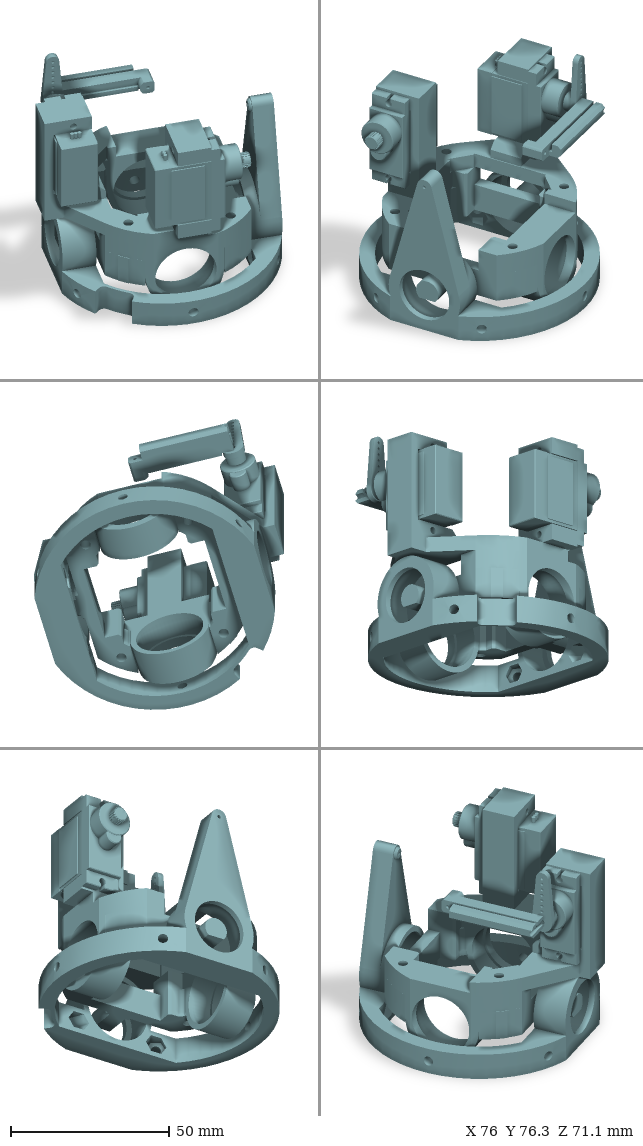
import cadquery as cq
import math

AXIS_Z = 13.0
BOSS_RADIUS = 12.85
BEARING_DIAMETER = 22.0
SIDE_LIP_DIAMETER = 20.0
RING_LIP_DIAMETER = 18.0
RING_LIP_THICKNESS = 2.0
SIDE_LIP_THICKNESS = 3.15

RING_RADIUS = 38.0
RING_INNER_RADIUS = 33.0
RING_HEIGHT = 8.85
RING_FLAT_Y = 35.95
RING_INNER_FLAT_Y = 24.85
RADIAL_HOLE_COUNT = 6
SCREW_HOLE = 3.2
NUT_WIDTH = 5.7
NUT_POCKET_RADIUS = 32.7
NOTCH_RADIUS = 34.0
NOTCH_OUTER_RADIUS = 40.0
NOTCH_ANGLES = (-48.8, -29.6)
NOTCH_FILLET = 2.0

TOWER_FRONT_Y = 28.9
TOWER_TOP_RADIUS = 2.65
SHAFT_Z = 53.15
NUB_DIAMETER = 4.2
NUB_HEIGHT = 0.9
NUB_CHAMFER = 0.5
PIVOT_HOLE = 1.2

FRAME_RADIUS = 30.85
FRAME_FLAT_X = 28.95
FRAME_FLAT_Y = 23.95
WALL_INNER_X = 17.8
FRAME_BOTTOM = 10.2
LAP_Z = 20.1
FRAME_TOP = 27.1
SHELF_Z = 26.15
PLATE_TOP = 31.0
LAP_Y = 12.95
STEP_Y = -10.15
CORNER_HOLE = (21.2, 16.75)
TALL = 100.0

BAR_TOP = 19.55
BAR_INNER_Y = 19.85
LUG_INNER_X = 12.85
LUG_INNER_Y = 14.65
LUG_CHAMFER = 0.8
GUSSET_SIZE = 1.3
PAD_WIDTH = 3.7
PAD_RADIUS = 31.0
SHOULDER_DIAMETER = 10.1
SHOULDER_LENGTH = 1.0
PIN_DIAMETER = 8.0
PIN_END_Y = 34.1

SERVO_WIDTH = 12.0
CASE_BOTTOM, CASE_TOP = 36.4, 59.4
EAR_BOTTOM, EAR_TOP = 31.75, 63.95
EAR_THICKNESS = 2.85
CASE_FRONT = 4.5
CASE_REAR = -18.5
CASE_CHAMFER = 0.25
LID_FRONT = -13.15
LID_OVERHANG = 0.08
PANEL_BOTTOM, PANEL_TOP = 37.4, 58.3
PANEL_FRONT = -2.3
PANEL_THICKNESS = 0.3
GEAR_BOSS_DIAMETER = 11.5
GEAR_BOSS_FRONT = 10.35
SERVO_BOSS_CHAMFER = 0.3
IDLER_BOSS_DIAMETER = 5.5
IDLER_BOSS_FRONT = 10.0
IDLER_DROP = 5.9
SHAFT_DIAMETER = 5.0
SHAFT_FRONT = 14.0
SHAFT_CHAMFER = 0.4
NECK_FRONT = 10.75
NECK_DIAMETER = 4.2
SPLINE_COUNT = 18
SPLINE_DEPTH = 0.3
SPLINE_WIDTH = 0.4
EAR_HOLE = 2.3
EAR_HOLE_Z = (33.95, 61.75)
EAR_SLOT_WIDTH = 1.3
CONNECTOR_PIN_DIAMETER = 1.2
CONNECTOR_PIN_PITCH = 1.22
CONNECTOR_PIN_TOP = 61.3
CONNECTOR_PIN_DEPTH = -13.85
WINDOW_BOTTOM, WINDOW_TOP = 36.2, 59.6
HOLDER_THICKNESS = 11.0
HOLDER_SIDE_GAP = 0.45

RIGHT_SERVO_X = 27.25
RIGHT_FACE_Y = 7.25
RIGHT_HOLDER_OUTER_X = 33.25
RIGHT_HOLDER_TOP = 64.95
FRONT_SERVO_Y = -30.9
FRONT_FACE_X = -3.75
FRONT_HOLDER_INNER_Y = -24.9
FRONT_HOLDER_OUTER_Y = -40.31
FRONT_HOLDER_TOP = 64.6

PLATE_CORNER_X = math.sqrt(FRAME_RADIUS**2 - FRAME_FLAT_Y**2)
PLATE_APEX_Y = -39.7
PLATE_INNER_Y = -20.0
PLATE_CHAMFER_OUTER_X = 18.75
PLATE_CHAMFER_INNER_Y = -19.3
FOOT_INNER_Y = -20.3
FOOT_TOP = 36.2
FOOT_CHAMFER = 2.2

BLADE_OUTER_X, BLADE_INNER_X = -19.55, -17.55
HUB_INNER_X = -14.75
HUB_DIAMETER = 6.3
BLADE_ROOT_RADIUS = 3.5
HORN_TOP = 71.09
BLADE_TIP_RADIUS = 2.1
HORN_HOLE = 1.0
HORN_HOLE_COUNT = 7
HORN_HOLE_PITCH = 2.0
HORN_SCREW_HOLE = 1.7

LINK_OUTER_X = -27.85
LINK_SLOT_X = (-24.7, -23.7)
LINK_LEDGE_X = -18.7
LINK_HOOK_X = -16.7
LINK_BOTTOM, LINK_TOP = 51.1, 55.5
EYE_RADIUS = 2.6
EYE_END_Y = 2.15
LINK_FLOOR_Z = 52.75
LINK_START_Y, LINK_END_Y = -2.5, -31.3
LEDGE_END_Y = -27.2
LINK_CHAMFER = 1.05


def box(x_range, y_range, z_range):
    """Axis-aligned block between the given limits."""
    (x0, x1), (y0, y1), (z0, z1) = (sorted(limits) for limits in (x_range, y_range, z_range))
    return cq.Workplane("XY").box(x1 - x0, y1 - y0, z1 - z0, centered=False).translate((x0, y0, z0))


def cylinder_x(diameter, x_range, y, z):
    """Cylinder along X."""
    x0, x1 = sorted(x_range)
    return cq.Workplane("YZ", origin=(x0, y, z)).circle(diameter / 2).extrude(x1 - x0)


def cylinder_y(diameter, y_range, x, z):
    """Cylinder along Y."""
    y0, y1 = sorted(y_range)
    return cq.Workplane("XZ", origin=(x, y0, z)).circle(diameter / 2).extrude(y0 - y1)


def tapered_arm(plane, root_radius, tip_radius, length, thickness):
    """Two round ends joined by tangent sides, the root at the plane's origin and the tip above it."""
    lean = math.asin((root_radius - tip_radius) / length)
    side_x, side_y = math.cos(lean), math.sin(lean)
    return (
        cq.Workplane(plane)
        .moveTo(-root_radius * side_x, root_radius * side_y)
        .threePointArc((0, -root_radius), (root_radius * side_x, root_radius * side_y))
        .lineTo(tip_radius * side_x, length + tip_radius * side_y)
        .threePointArc((0, length + tip_radius), (-tip_radius * side_x, length + tip_radius * side_y))
        .close()
        .extrude(thickness)
    )


def ring_notch():
    """Sector that thins the ring wall between the notch angles."""
    start, end = (math.radians(angle) for angle in NOTCH_ANGLES)
    middle = (start + end) / 2

    def polar(radius, angle):
        return (radius * math.cos(angle), radius * math.sin(angle))

    sector = (
        cq.Workplane("XY")
        .moveTo(*polar(NOTCH_RADIUS, start))
        .threePointArc(polar(NOTCH_RADIUS, middle), polar(NOTCH_RADIUS, end))
        .lineTo(*polar(NOTCH_OUTER_RADIUS, end))
        .threePointArc(polar(NOTCH_OUTER_RADIUS, middle), polar(NOTCH_OUTER_RADIUS, start))
        .close()
        .extrude(RING_HEIGHT)
    )
    for angle in (start, end):
        x, y = polar(NOTCH_RADIUS, angle)
        corner = cq.selectors.NearestToPointSelector((x, y, RING_HEIGHT / 2))
        sector = sector.edges("|Z").edges(corner).fillet(NOTCH_FILLET)
    return sector


def radial_hole():
    """Screw hole along +X with a hexagonal nut pocket on the inside."""
    mid_z = RING_HEIGHT / 2
    hole = cylinder_x(SCREW_HOLE, (0, RING_RADIUS), 0, mid_z)
    nut_corner_diameter = NUT_WIDTH / math.cos(math.pi / 6)
    pocket = cq.Workplane("YZ", origin=(0, 0, mid_z)).polygon(6, nut_corner_diameter)
    return hole.union(pocket.extrude(NUT_POCKET_RADIUS))


def build_ring():
    flats = box((-TALL, TALL), (-RING_FLAT_Y, RING_FLAT_Y), (0, RING_HEIGHT))
    opening = cq.Workplane("XY").circle(RING_INNER_RADIUS).extrude(RING_HEIGHT)
    opening = opening.intersect(
        box((-TALL, TALL), (-RING_INNER_FLAT_Y, RING_INNER_FLAT_Y), (0, RING_HEIGHT))
    )
    ring = cq.Workplane("XY").circle(RING_RADIUS).extrude(RING_HEIGHT).intersect(flats).cut(opening)
    ring = ring.cut(ring_notch())

    for index in range(RADIAL_HOLE_COUNT):
        ring = ring.cut(radial_hole().rotate((0, 0, 0), (0, 0, 1), index * 360 / RADIAL_HOLE_COUNT))

    for side in (-1, 1):
        ring = ring.union(
            cylinder_y(2 * BOSS_RADIUS, (side * RING_INNER_FLAT_Y, side * RING_FLAT_Y), 0, AXIS_Z)
        )

    tower_plane = cq.Plane(origin=(0, RING_FLAT_Y, AXIS_Z), xDir=(1, 0, 0), normal=(0, -1, 0))
    tower_depth = RING_FLAT_Y - TOWER_FRONT_Y
    tower = tapered_arm(tower_plane, BOSS_RADIUS, TOWER_TOP_RADIUS, SHAFT_Z - AXIS_Z, tower_depth)
    ring = ring.union(tower)
    nub = cylinder_y(NUB_DIAMETER, (TOWER_FRONT_Y - NUB_HEIGHT, TOWER_FRONT_Y), 0, SHAFT_Z)
    nub = nub.faces("<Y").edges().chamfer(NUB_CHAMFER)
    ring = ring.union(nub)
    ring = ring.cut(cylinder_y(PIVOT_HOLE, (TOWER_FRONT_Y - NUB_HEIGHT, RING_FLAT_Y), 0, SHAFT_Z))

    ring = ring.cut(cylinder_y(RING_LIP_DIAMETER, (-TALL, TALL), 0, AXIS_Z))
    pocket_end = RING_FLAT_Y - RING_LIP_THICKNESS
    return ring.cut(cylinder_y(BEARING_DIAMETER, (-pocket_end, pocket_end), 0, AXIS_Z))


def frame_slab(bottom, top):
    """Full outline of the inner frame: a disc with four flats."""
    disc = cq.Workplane("XY", origin=(0, 0, bottom)).circle(FRAME_RADIUS).extrude(top - bottom)
    return disc.intersect(
        box((-FRAME_FLAT_X, FRAME_FLAT_X), (-FRAME_FLAT_Y, FRAME_FLAT_Y), (bottom, top))
    )


def corner_holes():
    """Vertical screw holes through the four corner joints."""
    x, y = CORNER_HOLE
    corners = [(-x, -y), (-x, y), (x, -y), (x, y)]
    return cq.Workplane("XY").pushPoints(corners).circle(SCREW_HOLE / 2).extrude(TALL)


def build_side_wall(side, step_back_y):
    """Bearing wall on one side (+1 for +X); its step reaches from the front joint to step_back_y."""
    inner, outer = side * WALL_INNER_X, side * FRAME_FLAT_X
    wall = box((inner, outer), (-LAP_Y, BOSS_RADIUS), (AXIS_Z, FRAME_TOP))
    wall = wall.union(cylinder_x(2 * BOSS_RADIUS, (inner, outer), 0, AXIS_Z))
    wall = wall.union(box((inner, outer), (0, FRAME_FLAT_Y), (LAP_Z, FRAME_TOP)))
    wall = wall.union(box((inner, outer), (-FRAME_FLAT_Y, 0), (LAP_Z, SHELF_Z)))
    wall = wall.union(box((inner, outer), (-LAP_Y, step_back_y), (LAP_Z, PLATE_TOP)))
    wall = wall.intersect(frame_slab(0, PLATE_TOP)).cut(corner_holes())
    wall = wall.cut(cylinder_x(SIDE_LIP_DIAMETER, (0, side * TALL), 0, AXIS_Z))
    pocket_end = side * (FRAME_FLAT_X - SIDE_LIP_THICKNESS)
    return wall.cut(cylinder_x(BEARING_DIAMETER, (0, pocket_end), 0, AXIS_Z))


def build_pivot_bar(side, lug_top):
    """Cross bar with corner lugs and a flat-bottomed pivot pin, on one side (+1 for +Y)."""
    outer_y = side * FRAME_FLAT_Y
    bar = box((-WALL_INNER_X, WALL_INNER_X), (side * BAR_INNER_Y, outer_y), (FRAME_BOTTOM, BAR_TOP))
    for hand in (-1, 1):
        lug_x = (hand * LUG_INNER_X, hand * WALL_INNER_X)
        lug = box(lug_x, (side * LUG_INNER_Y, outer_y), (FRAME_BOTTOM, lug_top))
        lug_corner = cq.selectors.NearestToPointSelector((hand * LUG_INNER_X, side * LUG_INNER_Y, AXIS_Z))
        lug = lug.edges("|Z").edges(lug_corner).chamfer(LUG_CHAMFER)
        corner = box(
            (hand * WALL_INNER_X, hand * FRAME_FLAT_X), (side * LAP_Y, outer_y), (FRAME_BOTTOM, LAP_Z)
        )
        gusset = (
            cq.Workplane("XY", origin=(hand * WALL_INNER_X, side * LUG_INNER_Y, FRAME_BOTTOM))
            .polyline([(0, 0), (-hand * GUSSET_SIZE, 0), (0, -side * GUSSET_SIZE)])
            .close()
            .extrude(LAP_Z - FRAME_BOTTOM)
        )
        corner = corner.intersect(frame_slab(FRAME_BOTTOM, LAP_Z))
        bar = bar.union(lug).union(gusset).union(corner)
    bar = bar.cut(corner_holes())
    shoulder_end = FRAME_FLAT_Y + SHOULDER_LENGTH
    pin = cylinder_y(SHOULDER_DIAMETER, (side * BAR_INNER_Y, side * shoulder_end), 0, AXIS_Z)
    pin = pin.union(cylinder_y(PIN_DIAMETER, (side * BAR_INNER_Y, side * PIN_END_Y), 0, AXIS_Z))
    pin = pin.cut(box((-TALL, TALL), (-TALL, TALL), (0, FRAME_BOTTOM)))
    return bar.union(pin)


def build_front_pivot_bar():
    """Front bar, with a flat pad on each rounded corner outside the screw hole."""
    bar = build_pivot_bar(-1, SHELF_Z)
    hole_x, hole_y = CORNER_HOLE
    pad_angle = math.degrees(math.atan2(hole_y, hole_x))
    hole_edge = math.hypot(hole_x, hole_y) + SCREW_HOLE / 2
    pad = box((hole_edge, PAD_RADIUS), (-PAD_WIDTH / 2, PAD_WIDTH / 2), (FRAME_BOTTOM, LAP_Z))
    for angle in (-pad_angle, pad_angle - 180):
        bar = bar.union(pad.rotate((0, 0, 0), (0, 0, 1), angle))
    return bar


def build_right_wall():
    wall = build_side_wall(1, RIGHT_FACE_Y)
    holder_y = (RIGHT_FACE_Y - HOLDER_THICKNESS, RIGHT_FACE_Y)
    holder = box((WALL_INNER_X, RIGHT_HOLDER_OUTER_X), holder_y, (PLATE_TOP, RIGHT_HOLDER_TOP))
    window_x = RIGHT_SERVO_X - SERVO_WIDTH / 2 - HOLDER_SIDE_GAP
    holder = holder.cut(box((window_x, TALL), holder_y, (WINDOW_BOTTOM, WINDOW_TOP)))
    for z in EAR_HOLE_Z:
        holder = holder.cut(cylinder_y(EAR_HOLE, holder_y, RIGHT_SERVO_X, z))
    return wall.union(holder)


def build_front_bracket():
    corner = (PLATE_CORNER_X, -FRAME_FLAT_Y)
    joint_x = math.sqrt(FRAME_RADIUS**2 - LAP_Y**2)
    arc_angle = (math.atan2(-FRAME_FLAT_Y, PLATE_CORNER_X) + math.atan2(-LAP_Y, joint_x)) / 2
    arc_x, arc_y = FRAME_RADIUS * math.cos(arc_angle), FRAME_RADIUS * math.sin(arc_angle)
    plate = (
        cq.Workplane("XY", origin=(0, 0, SHELF_Z))
        .moveTo(0, PLATE_APEX_Y)
        .lineTo(*corner)
        .threePointArc((arc_x, arc_y), (joint_x, -LAP_Y))
        .lineTo(PLATE_CHAMFER_OUTER_X, -LAP_Y)
        .lineTo(LUG_INNER_X, PLATE_CHAMFER_INNER_Y)
        .lineTo(LUG_INNER_X, PLATE_INNER_Y)
        .lineTo(0, PLATE_INNER_Y)
        .mirrorY()
        .extrude(PLATE_TOP - SHELF_Z)
    )
    holder_x = (FRONT_FACE_X, FRONT_FACE_X + HOLDER_THICKNESS)
    holder = box(holder_x, (FRONT_HOLDER_OUTER_Y, FRONT_HOLDER_INNER_Y), (SHELF_Z, FRONT_HOLDER_TOP))
    foot = box(holder_x, (FRONT_HOLDER_INNER_Y, FOOT_INNER_Y), (PLATE_TOP, FOOT_TOP))
    foot = foot.faces(">Z").edges(">Y").chamfer(FOOT_CHAMFER)
    window_y = FRONT_SERVO_Y - SERVO_WIDTH / 2 - HOLDER_SIDE_GAP
    holder = holder.cut(box(holder_x, (window_y, 0), (WINDOW_BOTTOM, WINDOW_TOP)))
    for z in EAR_HOLE_Z:
        holder = holder.cut(cylinder_x(EAR_HOLE, holder_x, FRONT_SERVO_Y, z))
    return plate.cut(corner_holes()).union(holder).union(foot)


def build_servo(mount_plane):
    """Servo with local X across its width, local Y its height and local Z out along the shaft."""
    half = SERVO_WIDTH / 2
    case_half = half - LID_OVERHANG
    case_height = (CASE_BOTTOM + LID_OVERHANG, CASE_TOP - LID_OVERHANG)
    case_rear = box((-case_half, case_half), case_height, (LID_FRONT, 0))
    case = box((-half, half), (CASE_BOTTOM, CASE_TOP), (0, CASE_FRONT))
    case = case.faces(">Z").edges().chamfer(CASE_CHAMFER)
    lid = box((-half, half), (CASE_BOTTOM, CASE_TOP), (CASE_REAR, LID_FRONT))
    lid = lid.faces("<Z").edges().chamfer(CASE_CHAMFER)
    ears = box((-half, half), (EAR_BOTTOM, EAR_TOP), (0, EAR_THICKNESS))
    ears = ears.faces(">Z").edges("|X").chamfer(CASE_CHAMFER)
    servo = case.union(case_rear).union(lid).union(ears)
    panel_half = half + PANEL_THICKNESS
    servo = servo.union(
        box((-panel_half, panel_half), (PANEL_BOTTOM, PANEL_TOP), (LID_FRONT, PANEL_FRONT))
    )

    for hole_y, end_y in zip(EAR_HOLE_Z, (EAR_BOTTOM, EAR_TOP)):
        hole = cq.Workplane("XY").center(0, hole_y).circle(EAR_HOLE / 2).extrude(EAR_THICKNESS)
        slot = box((-EAR_SLOT_WIDTH / 2, EAR_SLOT_WIDTH / 2), (hole_y, end_y), (0, EAR_THICKNESS))
        servo = servo.cut(hole).cut(slot)

    shaft_base = cq.Workplane("XY").center(0, SHAFT_Z)
    gear_boss = shaft_base.circle(GEAR_BOSS_DIAMETER / 2).extrude(GEAR_BOSS_FRONT)
    gear_boss = gear_boss.faces(">Z").edges().chamfer(SERVO_BOSS_CHAMFER)
    idler_boss = (
        cq.Workplane("XY")
        .center(0, SHAFT_Z - IDLER_DROP)
        .circle(IDLER_BOSS_DIAMETER / 2)
        .extrude(IDLER_BOSS_FRONT)
    )
    idler_boss = idler_boss.faces(">Z").edges().chamfer(SERVO_BOSS_CHAMFER)
    neck = shaft_base.circle(NECK_DIAMETER / 2).extrude(NECK_FRONT)
    spline_base = shaft_base.workplane(offset=NECK_FRONT)
    spline_length = SHAFT_FRONT - NECK_FRONT
    spline = spline_base.circle(SHAFT_DIAMETER / 2).extrude(spline_length)
    spline = spline.faces(">Z").edges().chamfer(SHAFT_CHAMFER)
    grooves = (
        spline_base.polarArray(SHAFT_DIAMETER / 2, 0, 360, SPLINE_COUNT)
        .rect(2 * SPLINE_DEPTH, SPLINE_WIDTH)
        .extrude(spline_length)
    )
    servo = servo.union(gear_boss).union(idler_boss).union(neck).union(spline.cut(grooves))

    for index in (-1, 0, 1):
        pin_x = index * CONNECTOR_PIN_PITCH
        pin_y = (PANEL_TOP, CONNECTOR_PIN_TOP)
        servo = servo.union(cylinder_y(CONNECTOR_PIN_DIAMETER, pin_y, pin_x, CONNECTOR_PIN_DEPTH))
    return cq.Workplane(servo.val().moved(cq.Location(mount_plane)))


def build_horn():
    tip_z = HORN_TOP - BLADE_TIP_RADIUS
    blade_plane = cq.Plane(origin=(BLADE_OUTER_X, FRONT_SERVO_Y, SHAFT_Z), xDir=(0, 1, 0), normal=(1, 0, 0))
    horn = tapered_arm(
        blade_plane, BLADE_ROOT_RADIUS, BLADE_TIP_RADIUS, tip_z - SHAFT_Z, BLADE_INNER_X - BLADE_OUTER_X
    )
    horn = horn.union(cylinder_x(HUB_DIAMETER, (BLADE_OUTER_X, HUB_INNER_X), FRONT_SERVO_Y, SHAFT_Z))
    socket_end = FRONT_FACE_X - SHAFT_FRONT
    horn = horn.cut(cylinder_x(SHAFT_DIAMETER, (socket_end, HUB_INNER_X), FRONT_SERVO_Y, SHAFT_Z))
    horn = horn.cut(cylinder_x(HORN_SCREW_HOLE, (BLADE_OUTER_X, HUB_INNER_X), FRONT_SERVO_Y, SHAFT_Z))
    for index in range(HORN_HOLE_COUNT):
        hole_z = tip_z - index * HORN_HOLE_PITCH
        horn = horn.cut(cylinder_x(HORN_HOLE, (BLADE_OUTER_X, BLADE_INNER_X), FRONT_SERVO_Y, hole_z))
    return horn


def build_link():
    link_y = (LINK_END_Y, LINK_START_Y)
    link = box((LINK_OUTER_X, BLADE_OUTER_X), link_y, (LINK_BOTTOM, LINK_TOP))
    link = link.edges("|Y and <X").chamfer(LINK_CHAMFER)
    link = link.cut(box(LINK_SLOT_X, link_y, (LINK_FLOOR_Z, LINK_TOP)))
    link = link.union(
        box((BLADE_OUTER_X, LINK_LEDGE_X), (LEDGE_END_Y, LINK_START_Y), (LINK_BOTTOM, LINK_FLOOR_Z))
    )
    eye_z = (LINK_BOTTOM + LINK_TOP) / 2
    inner_bar_x = LINK_SLOT_X[1]
    eye = cylinder_x(2 * EYE_RADIUS, (inner_bar_x, LINK_HOOK_X), 0, eye_z)
    link = link.union(
        eye.intersect(box((-TALL, TALL), (-EYE_RADIUS, EYE_END_Y), (LINK_BOTTOM, LINK_TOP)))
    )
    link = link.union(box((inner_bar_x, BLADE_OUTER_X), (LINK_START_Y, 0), (LINK_BOTTOM, LINK_TOP)))
    link = link.cut(cylinder_x(PIVOT_HOLE, (inner_bar_x, LINK_HOOK_X), 0, eye_z))
    return link.cut(cylinder_x(HORN_SCREW_HOLE, (LINK_OUTER_X, BLADE_OUTER_X), LINK_END_Y, eye_z))


right_servo_mount = cq.Plane(origin=(RIGHT_SERVO_X, RIGHT_FACE_Y, 0), xDir=(-1, 0, 0), normal=(0, 1, 0))
front_servo_mount = cq.Plane(origin=(FRONT_FACE_X, FRONT_SERVO_Y, 0), xDir=(0, -1, 0), normal=(-1, 0, 0))

outer_ring = build_ring()
left_wall = build_side_wall(-1, STEP_Y)
right_wall = build_right_wall()
pivot_bars = [build_pivot_bar(1, FRAME_TOP), build_front_pivot_bar()]
front_bracket = build_front_bracket()
servos = [build_servo(mount) for mount in (right_servo_mount, front_servo_mount)]
horn = build_horn()
link = build_link()

result = cq.Compound.makeCompound(
    [
        outer_ring.val(),
        left_wall.val(),
        right_wall.val(),
        *[bar.val() for bar in pivot_bars],
        front_bracket.val(),
        *[servo.val() for servo in servos],
        horn.val(),
        link.val(),
    ]
)